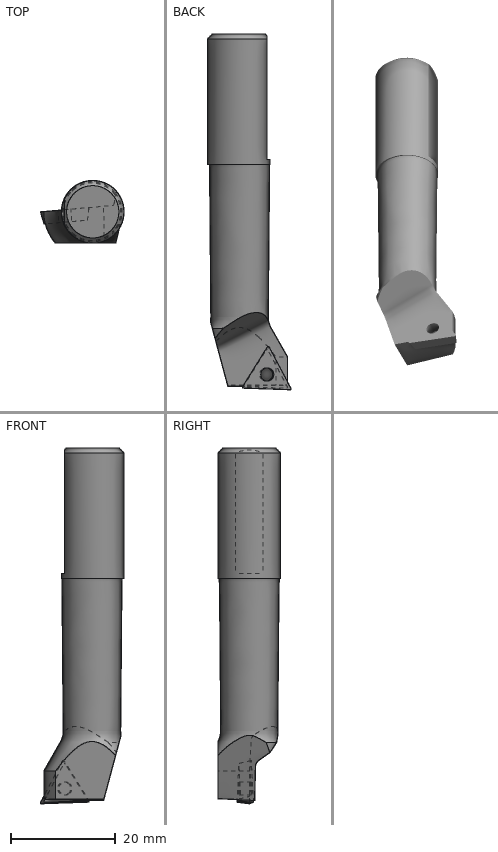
import cadquery as cq
import math


shank_radius = 6.0
shank_length = 25.0
shank_chamfer = 1.0
flat_distance = 5.4
flat_length = 24.0

neck_top_radius = 5.75
neck_bottom_radius = 5.5
neck_axis_x = -0.15
neck_bottom_z = -54.2

flare_angle = math.radians(29.5)
flare_blend_radius = 4.0
head_radius = 9.2
head_front_y = -shank_radius
heel_angle = 15.0
heel_x = 2.2
heel_z = -67.0
head_bottom_z = -67.35
bottom_relief_angle = 2.5

tip_x = -10.0
tip_z = -68.05
rake_angle = 5.0
wall_z = -58.75
wall_slope = math.radians(30)
wall_lean = math.radians(35)
wall_fillet = 1.5

insert_sides = 3
corner_angle = 180.0 / insert_sides
insert_circle = 5.56
insert_thickness = 2.38
insert_relief = 7.0
insert_nose_radius = 0.2
insert_hole_diameter = 2.5
insert_lead_angle = 2.0

trim_size = 80.0


def half_space(origin, normal, x_dir=None):
    """Large block filling the side of a plane that the normal points to."""
    plane = cq.Plane(origin=origin, xDir=x_dir, normal=normal)
    return cq.Workplane(plane).rect(trim_size, trim_size).extrude(trim_size)


def make_shank():
    shank = cq.Workplane("XY").circle(shank_radius).extrude(-shank_length)
    shank = shank.faces(">Z").chamfer(shank_chamfer)
    flat_cut = (
        cq.Workplane("XY", origin=(-flat_distance, 0, -flat_length))
        .rect(-shank_radius, 2 * shank_radius, centered=(False, True))
        .extrude(flat_length)
    )
    return shank.cut(flat_cut)


def make_neck_and_head():
    blend_end_radius = neck_bottom_radius + flare_blend_radius * (1 - math.cos(flare_angle))
    blend_end_z = neck_bottom_z - flare_blend_radius * math.sin(flare_angle)
    blend_mid_radius = neck_bottom_radius + flare_blend_radius * (1 - math.cos(flare_angle / 2))
    blend_mid_z = neck_bottom_z - flare_blend_radius * math.sin(flare_angle / 2)
    head_corner_z = blend_end_z - (head_radius - blend_end_radius) / math.tan(flare_angle)

    blank = (
        cq.Workplane("XZ", origin=(neck_axis_x, 0, 0))
        .moveTo(0, -shank_length)
        .lineTo(neck_top_radius, -shank_length)
        .lineTo(neck_bottom_radius, neck_bottom_z)
        .threePointArc((blend_mid_radius, blend_mid_z), (blend_end_radius, blend_end_z))
        .lineTo(head_radius, head_corner_z)
        .lineTo(head_radius, tip_z)
        .lineTo(0, tip_z)
        .close()
        .revolve(360, (0, 0, 0), (0, 1, 0))
    )

    heel = math.radians(heel_angle)
    relief = math.radians(bottom_relief_angle)
    front_trim = half_space((0, head_front_y, heel_z), (0, -1, 0))
    bottom_trim = half_space((0, 0, head_bottom_z), (0, -math.sin(relief), -math.cos(relief)))
    heel_trim = half_space((heel_x, 0, heel_z), (math.cos(heel), 0, -math.sin(heel)))
    heel_trim = heel_trim.intersect(half_space((0, 0, neck_bottom_z), (0, 0, -1)))
    back_region = half_space((0, 0, heel_z), (0, 1, 0)).intersect(half_space((0, 0, heel_z), (1, 0, 0)))
    back_trim = back_region.cut(cq.Workplane("XY").circle(shank_radius).extrude(-trim_size))
    blank = blank.cut(back_trim)
    return blank.cut(front_trim).cut(bottom_trim).cut(heel_trim)


def rake_normal():
    rake = math.radians(rake_angle)
    return cq.Vector(-math.sin(rake), math.cos(rake), 0)


def make_chip_clearance():
    """Space over the rake plane and below the leaning wall, rounded where the two meet."""
    wall_normal = cq.Vector(
        -math.sin(wall_slope) * math.cos(wall_lean),
        math.sin(wall_lean),
        -math.cos(wall_slope) * math.cos(wall_lean),
    )
    corner_line = rake_normal().cross(wall_normal)
    over_floor = half_space((tip_x, 0, tip_z), rake_normal(), corner_line)
    below_wall = half_space((neck_axis_x, 0, wall_z), wall_normal, corner_line)
    clearance = over_floor.intersect(below_wall)
    corner_edges = clearance.edges(cq.selectors.ParallelDirSelector(corner_line))
    near_corner = cq.NearestToPointSelector((neck_axis_x, 0, wall_z))
    return corner_edges.edges(near_corner).fillet(wall_fillet)


def make_insert_blank():
    """Relieved triangle with its top face on the rake plane and its nose at the tip, and its top plane."""
    lead = math.radians(insert_lead_angle)
    rake = math.radians(rake_angle)
    bisector = lead + math.radians(corner_angle / 2)
    reach = insert_circle - 2 * insert_nose_radius
    centre_u = insert_nose_radius + reach * math.cos(bisector)
    centre_z = tip_z + insert_nose_radius + reach * math.sin(bisector)
    centre = (tip_x + centre_u * math.cos(rake), centre_u * math.sin(rake), centre_z)
    rake_line = (math.cos(rake), math.sin(rake), 0)

    top_plane = cq.Plane(origin=centre, xDir=rake_line, normal=-rake_normal())
    corners = []
    for index in range(insert_sides):
        angle = bisector + math.pi + index * 2 * math.pi / insert_sides
        corners.append((insert_circle * math.cos(angle), insert_circle * math.sin(angle)))
    triangle = cq.Workplane(top_plane).polyline(corners).close().extrude(insert_thickness, taper=insert_relief)
    top_and_bottom_edges = cq.selectors.PerpendicularDirSelector(rake_normal())
    return triangle.edges(cq.selectors.InverseSelector(top_and_bottom_edges)).fillet(insert_nose_radius), top_plane


insert_blank, insert_top_plane = make_insert_blank()
holder = make_shank().union(make_neck_and_head())
holder = holder.cut(make_chip_clearance()).cut(insert_blank).solids()

insert_hole = cq.Workplane(insert_top_plane).circle(insert_hole_diameter / 2).extrude(insert_thickness)
insert = insert_blank.cut(insert_hole)

result = cq.Compound.makeCompound([holder.val(), insert.val()])